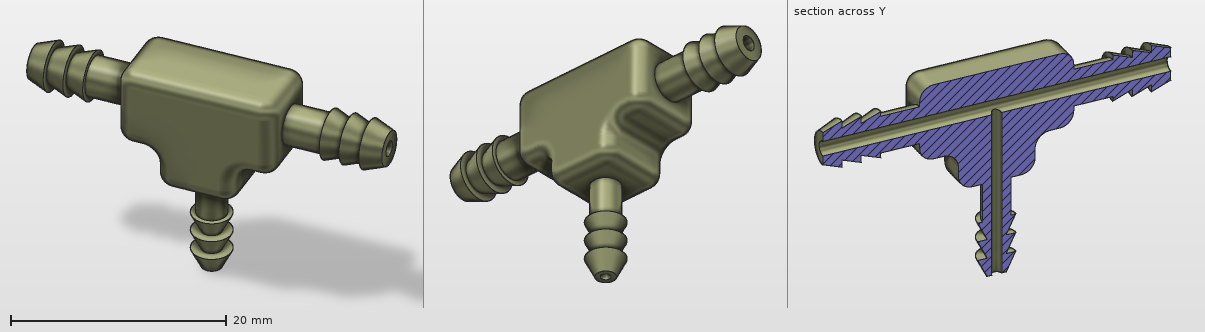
import cadquery as cq


overall_length = 36.0
body_length = 16.0
block_size = 8.0
stem_drop = block_size / 2
round_radius = 1.5

port_length = (overall_length - body_length) / 2
barb_count = 3
neck_length_in_barbs = 2
barb_length = port_length / (barb_count + neck_length_in_barbs)
neck_length = neck_length_in_barbs * barb_length

run_neck_diameter = 4.0
run_barb_diameter = 5.0
run_tip_diameter = 3.5
run_bore_diameter = 1.5

branch_neck_diameter = 3.0
branch_barb_diameter = 4.0
branch_tip_diameter = 2.0
branch_bore_diameter = 1.0

bar_end = body_length / 2
half_block = block_size / 2
stem_end = half_block + stem_drop


def make_body():
    """T-shaped block with every outer edge and inside corner rounded."""
    bar = cq.Workplane("XY").box(body_length, block_size, block_size)
    stem = (
        cq.Workplane("XY")
        .workplane(offset=-stem_end)
        .rect(block_size, block_size)
        .extrude(stem_end)
    )
    return bar.union(stem).clean().edges().fillet(round_radius)


def make_port(start, neck_diameter, barb_diameter, tip_diameter):
    """Solid barbed port along +Z, from the body centre outward past the face at start."""
    neck_end = start + neck_length
    profile = (
        cq.Workplane("XZ")
        .lineTo(neck_diameter / 2, 0)
        .lineTo(neck_diameter / 2, neck_end)
    )
    for index in range(barb_count):
        barb_start = neck_end + index * barb_length
        profile = (
            profile
            .lineTo(barb_diameter / 2, barb_start)
            .lineTo(tip_diameter / 2, barb_start + barb_length)
        )
    return profile.lineTo(0, start + port_length).close().revolve(360, (0, 0), (0, 1))


run_port = make_port(bar_end, run_neck_diameter, run_barb_diameter, run_tip_diameter)
branch_port = make_port(stem_end, branch_neck_diameter, branch_barb_diameter, branch_tip_diameter)

result = make_body()

for angle in (90, -90):
    result = result.union(run_port.rotate((0, 0, 0), (0, 1, 0), angle))
result = result.union(branch_port.rotate((0, 0, 0), (1, 0, 0), 180))

run_bore = cq.Workplane("YZ").circle(run_bore_diameter / 2).extrude(overall_length / 2, both=True)
branch_bore = cq.Workplane("XY").circle(branch_bore_diameter / 2).extrude(-(stem_end + port_length))
result = result.cut(run_bore).cut(branch_bore)